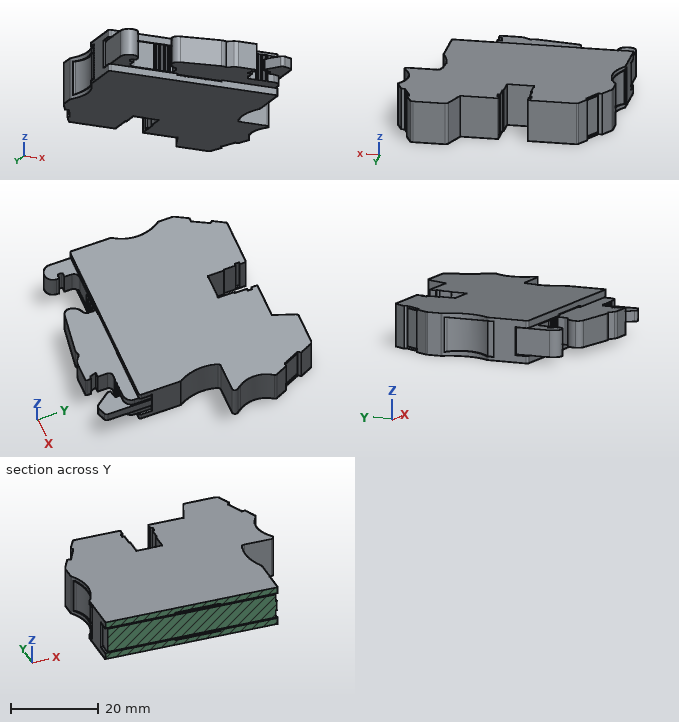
import cadquery as cq
import math

thickness = 10.0
mid_z = thickness / 2
total_height = 51.45
housing_base = 9.4
housing_right = 42.4
shoulder = 45.8
base_corner_radius = 0.45

waist_y = 25.45
waist_half_height = 5.8
waist_depth = 1.9
waist_radius = (waist_half_height**2 + waist_depth**2) / (2 * waist_depth)
right_waist_depth = 1.7

left_ledge_y = 38.25
left_lip_y = 42.2
right_ledge_y = 43.55
right_lip_y = 47.55
marker_side_wall = 0.5
marker_depth = 0.2

slot_left = 17.8
slot_right = 24.65
slot_floor = 36.2
slot_step_y = 40.25
slot_step = 0.25
key_bottom = 43.2
key_height = 1.05
key_depth = 0.5
key_floor_z = 0.5

grip_bottom = 18.0
grip_top = 30.7
grip_side_wall = 0.8
grip_depth = 0.25
grip_floor_bottom = 18.15
grip_floor_top = 30.35
grip_draft = 12.0

foot_thickness = 6.3
foot_left = 0.5
foot_right = 41.9
foot_top = 12.6
rail_seat = 9.35
foot_step = 6.35
foot_corner_radius = 2.05
channel_width = 6.6
wide_channel_width = 7.25
wide_channel_start = 17.25
wide_channel_end = 28.3
wide_channel_depth = 0.5
left_tooth_count = 4
left_tooth_start = 11.45
right_tooth_count = 3
right_tooth_start = 35.7
tooth_pitch = 1.2
left_tooth_height = 0.4
right_tooth_height = 0.25
tooth_tip = 0.3
tooth_base = 0.6
hook_thickness = 2.5
hook_right = 42.25


def extrude_mid(sketch, width):
    """Extrude a closed XY outline symmetrically about the middle of the thickness."""
    return sketch.extrude(width / 2, both=True).translate((0, 0, mid_z))


def block(x0, x1, y0, y1, width):
    """Box between two X and two Y limits, centred in the thickness."""
    return cq.Workplane("XY").box(x1 - x0, y1 - y0, width).translate(((x0 + x1) / 2, (y0 + y1) / 2, mid_z))


def round_corners(body, radius, corners):
    """Round the edges along Z that stand on the given XY corners."""
    tolerance = 0.025
    for x, y in corners:
        near = (x - tolerance, y - tolerance, -0.5)
        far = (x + tolerance, y + tolerance, thickness + 0.5)
        body = body.edges("|Z").edges(cq.selectors.BoxSelector(near, far)).fillet(radius)
    return body


def make_housing():
    waist_low = waist_y - waist_half_height
    waist_high = waist_y + waist_half_height
    left_shoulder = (6.15, shoulder)
    left_cheek = (0, 35.05)
    tower_left = (35.5, total_height)
    tower_right = (43.95, total_height)
    cheek = (49.05, 40.4)
    nose_low = 29.75
    nose_tip = (50.1, nose_low)
    nose_root = (41.4, nose_low)
    outline = (
        cq.Workplane("XY")
        .moveTo(0, housing_base)
        .lineTo(0, waist_low)
        .threePointArc((waist_depth, waist_y), (0, waist_high))
        .lineTo(*left_cheek)
        .lineTo(1.8, left_ledge_y)
        .lineTo(2.75, left_ledge_y)
        .lineTo(4.85, left_lip_y)
        .lineTo(4.4, 42.75)
        .lineTo(*left_shoulder)
        .lineTo(slot_left, shoulder)
        .lineTo(slot_left, slot_step_y)
        .lineTo(slot_left + slot_step, slot_step_y)
        .lineTo(slot_left + slot_step, slot_floor)
        .lineTo(slot_right - slot_step, slot_floor)
        .lineTo(slot_right - slot_step, slot_step_y)
        .lineTo(slot_right, slot_step_y)
        .lineTo(slot_right, shoulder)
        .lineTo(33.45, shoulder)
        .lineTo(*tower_left)
        .lineTo(*tower_right)
        .lineTo(45.45, 48.15)
        .lineTo(44.95, right_lip_y)
        .lineTo(46.8, right_ledge_y)
        .lineTo(47.65, right_ledge_y)
        .lineTo(*cheek)
        .threePointArc((47.45, 36.0), (48.6, 31.85))
        .lineTo(*nose_tip)
        .lineTo(*nose_root)
        .threePointArc((housing_right - right_waist_depth, waist_y), (housing_right, waist_low))
        .lineTo(housing_right, housing_base)
        .close()
    )
    body = extrude_mid(outline, thickness)
    body = round_corners(body, base_corner_radius, [(0, housing_base), (housing_right, housing_base)])
    body = round_corners(body, 0.2, [(slot_left, shoulder), (slot_right, shoulder)])
    body = round_corners(body, 0.5, [left_shoulder, cheek, (0, waist_low), (0, waist_high)])
    body = round_corners(body, 1.05, [left_cheek])
    body = round_corners(body, 0.75, [tower_left, tower_right, nose_tip, nose_root])
    return body


def make_marker_recess(start, end, inward):
    """Shallow recess between two outline points, leaving a thin wall on either face."""
    (x0, y0), (x1, y1) = start, end
    length = math.hypot(x1 - x0, y1 - y0)
    shift_x = inward * marker_depth * (y1 - y0) / length
    shift_y = -inward * marker_depth * (x1 - x0) / length
    corners = [start, end, (x1 + shift_x, y1 + shift_y), (x0 + shift_x, y0 + shift_y)]
    return extrude_mid(cq.Workplane("XY").polyline(corners).close(), thickness - 2 * marker_side_wall)


def make_slot_keys():
    """Key grooves facing each other in the slot walls, open at the +Z face only."""
    return (
        cq.Workplane("XY", origin=(0, 0, key_floor_z))
        .moveTo((slot_left + slot_right) / 2, key_bottom + key_height / 2)
        .rect(slot_right - slot_left + 2 * key_depth, key_height)
        .extrude(thickness - key_floor_z)
    )


def make_grip_pocket():
    """Pocket that follows the left waist at a constant depth, with drafted side walls."""
    reach = waist_depth + grip_depth
    drop = waist_radius - math.sqrt(waist_radius**2 - (grip_floor_top - waist_y) ** 2)
    floor = (
        cq.Workplane("XY")
        .moveTo(0, grip_bottom)
        .lineTo(grip_depth, grip_floor_bottom)
        .lineTo(grip_depth, waist_y - waist_half_height)
        .threePointArc((reach, waist_y), (reach - drop, grip_floor_top))
        .lineTo(0, waist_y + waist_half_height)
        .close()
    )
    opening_half_width = mid_z - grip_side_wall
    inner_half_width = opening_half_width - reach * math.tan(math.radians(grip_draft))
    sides = (
        cq.Workplane("XZ", origin=(0, grip_bottom, mid_z))
        .moveTo(0, -opening_half_width)
        .lineTo(reach, -inner_half_width)
        .lineTo(reach, inner_half_width)
        .lineTo(0, opening_half_width)
        .close()
        .extrude(grip_bottom - grip_top)
    )
    return extrude_mid(floor, thickness).intersect(sides)


def make_tooth(x, seat, height):
    """Rail-gripping rib under a seat, tapering to a narrow tip."""
    corners = [
        (x - tooth_base / 2, seat),
        (x - tooth_tip / 2, seat - height),
        (x + tooth_tip / 2, seat - height),
        (x + tooth_base / 2, seat),
    ]
    return extrude_mid(cq.Workplane("XY").polyline(corners).close(), foot_thickness)


def make_foot():
    leg_right = 4.8
    leg_radius = 2.1
    leg_center = (foot_left + leg_radius, 4.15)
    notch_x = 3.6
    notch_low = 4.95
    notch_high = 6.15
    jaw_x = 15.95
    claw_x = 32.95
    seat_end = 38.5
    outline = (
        cq.Workplane("XY")
        .moveTo(foot_left, foot_top)
        .lineTo(foot_left, leg_center[1])
        .threePointArc(
            (leg_center[0], leg_center[1] - leg_radius),
            (leg_center[0] + leg_radius, leg_center[1]),
        )
        .lineTo(leg_right, notch_low)
        .lineTo(notch_x, notch_low)
        .lineTo(notch_x, notch_high)
        .lineTo(leg_right, notch_high)
        .lineTo(leg_right, rail_seat)
        .lineTo(jaw_x, rail_seat)
        .lineTo(jaw_x, 7.55)
        .threePointArc((15.7, 6.85), (14.8, 6.3))
        .threePointArc((13.75, 5.2), (13.3, 3.7))
        .threePointArc((13.65, 2.8), (14.65, 2.25))
        .lineTo(24.3, 0.9)
        .threePointArc((25.0, 0.95), (25.7, 1.2))
        .lineTo(27.15, 0.25)
        .threePointArc((27.6, 0.1), (28.2, 0))
        .lineTo(claw_x, 0)
        .lineTo(claw_x, 1.35)
        .lineTo(32.25, 1.45)
        .lineTo(31.85, 2.95)
        .lineTo(claw_x, 2.95)
        .lineTo(claw_x, foot_step)
        .lineTo(foot_right, foot_step)
        .lineTo(foot_right, foot_top)
        .close()
    )
    foot = extrude_mid(outline, foot_thickness)
    foot = round_corners(foot, 0.3, [(notch_x, notch_low), (notch_x, notch_high), (claw_x, 0)])
    foot = round_corners(foot, 1.45, [(leg_right, rail_seat)])
    foot = round_corners(foot, 1.05, [(claw_x, foot_step)])
    foot = round_corners(foot, foot_corner_radius, [(foot_right, foot_step)])

    for i in range(left_tooth_count):
        foot = foot.union(make_tooth(left_tooth_start + i * tooth_pitch, rail_seat, left_tooth_height))
    for i in range(right_tooth_count):
        foot = foot.union(make_tooth(right_tooth_start + i * tooth_pitch, foot_step, right_tooth_height))

    hook = (
        cq.Workplane("XY")
        .moveTo(seat_end, foot_top)
        .lineTo(seat_end, 5.1)
        .lineTo(36.6, 4.65)
        .lineTo(36.6, 3.9)
        .lineTo(39.0, 0.7)
        .threePointArc((39.4, 0.35), (39.95, 0.35))
        .lineTo(41.7, 1.05)
        .threePointArc((42.1, 1.3), (hook_right, 1.65))
        .lineTo(hook_right, foot_top)
        .close()
    )
    return foot.union(extrude_mid(hook, hook_thickness))


housing = make_housing()
housing = housing.cut(make_marker_recess((2.75, left_ledge_y), (4.85, left_lip_y), 1))
housing = housing.cut(make_marker_recess((46.8, right_ledge_y), (44.95, right_lip_y), -1))
housing = housing.cut(make_slot_keys())
housing = housing.cut(make_grip_pocket())
housing = housing.cut(block(0, housing_right, housing_base, foot_top, channel_width))
wide_channel = block(
    wide_channel_start, wide_channel_end,
    housing_base, housing_base + wide_channel_depth, wide_channel_width,
)
housing = housing.cut(wide_channel)

result = housing.union(make_foot())